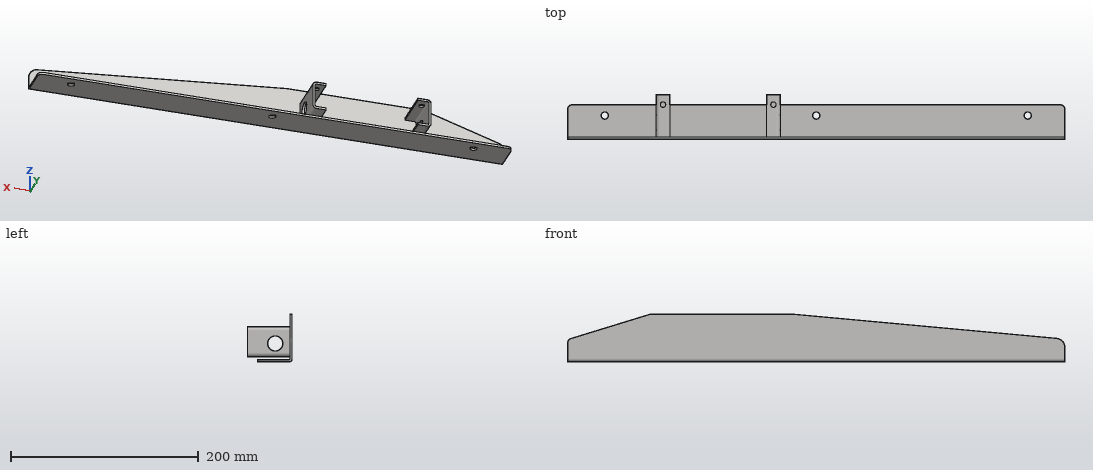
import cadquery as cq

length = 530.0
rail_height = 51.0
base_depth = 37.0
sheet = 2.5
bend_radius = 3.0

left_height = 24.0
right_height = 24.5
crest_start = 88.0
crest_end = 241.0
left_corner_radius = 5.5
right_corner_radius = 10.0
base_corner_radius = 5.5

mount_hole_diameter = 7.5
mount_hole_y = 25.5
mount_hole_pitch = 225.0

overall_depth = 47.5
bracket_width = 15.0
bracket_bottom = 5.5
bracket_height = 32.5
bracket_sheet = 2.5
bracket_bend_radius = 4.0
left_web_x = 94.5
right_web_x = 227.0
web_hole_diameter = 16.0
web_hole_y = 18.0
web_hole_z = 19.5
flange_hole_diameter = 6.0
flange_hole_y = 37.0
flange_hole_offset = 7.5


def make_rail():
    """Bent angle, trimmed to the sloping outline and rounded at its free corners."""
    angle = cq.Workplane("YZ").rect(base_depth, rail_height, centered=False).extrude(length)
    angle = angle.edges("|X and <Y and <Z").fillet(bend_radius)
    inside = (
        cq.Workplane("YZ")
        .moveTo(sheet, sheet)
        .rect(base_depth, rail_height, centered=False)
        .extrude(length)
        .edges("|X and <Y and <Z")
        .fillet(bend_radius - sheet)
    )
    front_outline = (
        cq.Workplane("XZ")
        .polyline([
            (0, 0),
            (length, 0),
            (length, right_height),
            (crest_end, rail_height),
            (crest_start, rail_height),
            (0, left_height),
        ])
        .close()
        .extrude(-base_depth)
        .edges("|Y and <X and (not <Z)")
        .fillet(left_corner_radius)
        .edges("|Y and >X and (not <Z)")
        .fillet(right_corner_radius)
    )
    base_outline = (
        cq.Workplane("XY")
        .rect(length, base_depth, centered=False)
        .extrude(rail_height)
        .edges("|Z and >Y")
        .fillet(base_corner_radius)
    )
    mount_holes = (
        cq.Workplane("XY")
        .pushPoints([(length / 2 + i * mount_hole_pitch, mount_hole_y) for i in (-1, 0, 1)])
        .circle(mount_hole_diameter / 2)
        .extrude(bracket_bottom)
    )
    return angle.cut(inside).intersect(front_outline).intersect(base_outline).cut(mount_holes)


def make_bracket(web_x, direction):
    """C-channel along Y; its flanges run from the web towards direction (+1 or -1) in X."""
    back_start = sheet / 2
    bracket_length = overall_depth - back_start
    mid_z = bracket_bottom + bracket_height / 2
    web_side = "<X" if direction > 0 else ">X"

    def block(offset, height, radius):
        return (
            cq.Workplane("XY")
            .box(bracket_width, bracket_length, height)
            .edges("|Y and " + web_side)
            .fillet(radius)
            .translate((
                web_x + direction * (bracket_width / 2 + offset),
                back_start + bracket_length / 2,
                mid_z,
            ))
        )

    outer = block(0, bracket_height, bracket_bend_radius)
    inner = block(
        bracket_sheet, bracket_height - 2 * bracket_sheet, bracket_bend_radius - bracket_sheet
    )
    web_hole = (
        cq.Workplane("YZ", origin=(web_x, web_hole_y, web_hole_z))
        .circle(web_hole_diameter / 2)
        .extrude(bracket_width, both=True)
    )
    flange_hole = (
        cq.Workplane("XY", origin=(web_x + direction * flange_hole_offset, flange_hole_y, mid_z))
        .circle(flange_hole_diameter / 2)
        .extrude(bracket_height)
    )
    return outer.cut(inner).cut(web_hole).cut(flange_hole)


result = (
    make_rail()
    .union(make_bracket(left_web_x, 1))
    .union(make_bracket(right_web_x, -1))
)